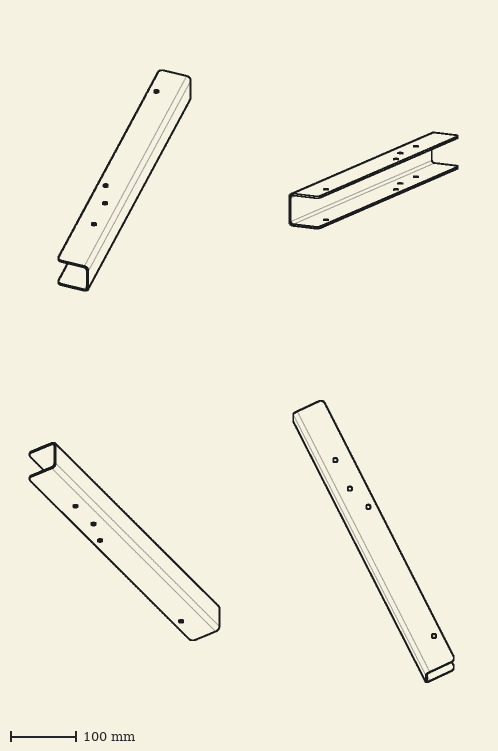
import cadquery as cq

length = 462.0
width = 51.0
height = 51.0
sheet = 3.0
bend_outer = 7.0
bend_inner = bend_outer - sheet
corner_radius = 7.0

hole_diameter = 7.0
edge_pair_x = -width / 4
edge_pair_y = (182.0, -46.5)
middle_pair_x = 0.0
middle_pair_y = (-85.0, -136.0)


def bent_channel():
    """U-shaped sheet profile, bent along both edges of the web."""
    outer = (
        cq.Workplane("XY")
        .box(width, length, height)
        .edges("|Y and >X")
        .fillet(bend_outer)
    )
    inner = (
        cq.Workplane("XY")
        .box(width, length, height - 2 * sheet)
        .edges("|Y and >X")
        .fillet(bend_inner)
        .translate((-sheet, 0, 0))
    )
    return outer.cut(inner)


def flange_holes():
    """Cutting cylinders that pass through both flanges."""
    centres = [(edge_pair_x, y) for y in edge_pair_y]
    centres += [(middle_pair_x, y) for y in middle_pair_y]
    return (
        cq.Workplane("XY")
        .pushPoints(centres)
        .circle(hole_diameter / 2)
        .extrude(height, both=True)
    )


channel = bent_channel().edges("|Z and <X").fillet(corner_radius)
result = channel.cut(flange_holes())